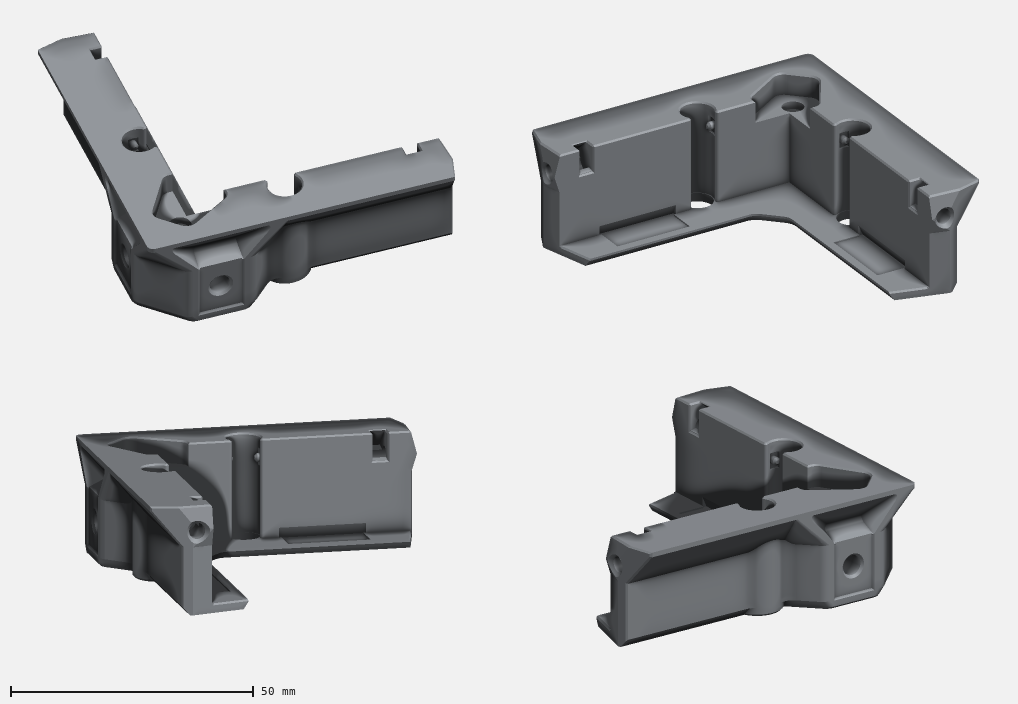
import cadquery as cq
import math

SIDE = 69.4
HEIGHT = 22.9

PLATE_TOP = 1.95
PLATE_LIP = 1.45
WALL_TOP = 14.35
RIM_BOTTOM = 21.85
FOOT_BEVEL = 0.5

WALL_OUTER = 6.25
WALL_INNER = 12.85
PLATE_INNER = 21.0
CORE_INNER = 13.2
FOOT_RUN = 1.65
LIP_RUN = 1.05
EDGE_BEVEL = 0.35
CORE_END = 61.05

GUSSET_LEG = 5.3
GUSSET_RADIUS = 2.8
CORNER_RADIUS = 1.4

BOSS_LEFT = 46.2
BOSS_RIGHT = 60.85
BOSS_CENTRE = (BOSS_LEFT + BOSS_RIGHT) / 2
BOSS_HALF = (BOSS_RIGHT - BOSS_LEFT) / 2
BOSS_RADIUS = 2.5
BOSS_TOP_RADIUS = 1.4
BOSS_ROOT = 8.3
BOSS_INSIDE = 59.7

PANEL_WIDTH = 10.05
PANEL_HALF = PANEL_WIDTH / 2
PANEL_BOTTOM = 1.8
PANEL_DEPTH = 0.4
FLARE_HALF = 11.7
FLARE_BACK_HALF = 4.65
FLARE_BACK_Y = 4.6
FLARE_BACK_Z = 16.45
FLARE_RADIUS = 1.05
BOSS_HOLE = 4.4
BOSS_HOLE_Z = 8.2
BOSS_HOLE_DEPTH = 6.95
BOSS_HOLE_BEVEL = 0.52

BORE_X = 36.1
BORE_Y = 10.0
BORE_RADIUS = 3.6
PLATE_HOLE = 6.9
BORE_LIP_RADIUS = 0.6
BULGE_RADIUS = 5.55
BULGE_BLEND = 3.05
BULGE_TOP = 18.05
NUB_RADIUS = 0.9
NUB_BEVEL = 0.5
NUB_REACH = 2.35
NUB_Z = 18.4
WINDOW_WIDTH = 2.35
WINDOW_HEIGHT = 3.6
WINDOW_DEPTH = 0.5

END_APEX = 8.5
END_BEVEL = 0.35
END_SLOPE = 0.27
NOSE_Z = 18.05
NOSE_TOP_SETBACK = 1.3
NOSE_TOP_SKEW = 0.068
END_HOLE = 3.4
END_HOLE_Y = 9.6
END_HOLE_Z = 17.6
END_HOLE_BEVEL = 0.8

SLOT_START = 6.2
SLOT_WIDTH = 3.1
SLOT_TOP_BACK = 10.3
SLOT_BACK = 5.75
SLOT_FLOOR = 16.9
SLOT_RAMP_TOP = 18.65

RECESS_START = 11.3
RECESS_LENGTH = 17.4
RECESS_INNER = 19.15
RECESS_DEPTH = 0.35
RECESS_TOP = 3.95
RECESS_UNDERCUT = 1.05
RECESS_MARGIN = 0.5

POCKET_FLOOR = 17.9
POCKET_START = 48.35
POCKET_SHOULDER_DROP = 2.115
POCKET_SHOULDER = WALL_INNER - POCKET_SHOULDER_DROP
POCKET_TIP = (59.05, 4.1)
POCKET_SHOULDER_RADIUS = 2.1
POCKET_TIP_RADIUS = 2.4
MAGNET = 4.7
MAGNET_OFFSET = 10.7
MAGNET_DEPTH = 1.7

OVERRUN = 3.5
BIG = 55.5
PICK_MARGIN = 0.15

HALF_DIAGONAL = math.sqrt(0.5)


def mirrored_point(point):
    return (SIDE - point[1], SIDE - point[0])


def mirrored(shape):
    return shape.mirror((1, 1, 0), (SIDE, 0, 0))


def with_mirror(shape):
    return shape.union(mirrored(shape))


def half_space(point, normal):
    """Large block that starts at a plane and fills the side its normal points to."""
    return cq.Workplane(cq.Plane(origin=point, normal=normal)).rect(2 * BIG, 2 * BIG).extrude(BIG)


def round_upright(shape, point, radius):
    """Round the vertical edge that stands at a plan point, and the one at its mirrored point."""
    for x, y in (point, mirrored_point(point)):
        low = (x - PICK_MARGIN, y - PICK_MARGIN, 0)
        high = (x + PICK_MARGIN, y + PICK_MARGIN, HEIGHT)
        shape = shape.edges("|Z").edges(cq.selectors.BoxSelector(low, high)).fillet(radius)
    return shape


def top_bevel(cutter):
    """Band that widens a cutter at the top face by a 45 degree bevel."""
    band = cutter.translate((0, 0, -EDGE_BEVEL)).faces(">Z").wires().toPending().workplane()
    return band.extrude(EDGE_BEVEL, taper=-45, combine=False)


def end_trim():
    """Pointed end of an arm: a vertical chevron below, a three-sided nose above."""
    apex_low = (0, END_APEX, 0)
    outer_face = half_space(apex_low, (-1, -END_SLOPE, 0))
    inner_face = half_space(apex_low, (-1, END_SLOPE, 0))
    below = cq.Workplane("XY").box(2 * BIG, 2 * BIG, WALL_TOP + OVERRUN, centered=(True, True, False))
    below = below.translate((0, 0, -OVERRUN))
    wall_end = END_SLOPE * (WALL_INNER - END_APEX)
    ridge = (0, WALL_INNER, NOSE_Z)
    nose_top = half_space(ridge, (-1, NOSE_TOP_SKEW, NOSE_TOP_SETBACK / (HEIGHT - NOSE_Z)))
    under = half_space(ridge, (-1, END_SLOPE, -wall_end / (NOSE_Z - WALL_TOP)))
    above = cq.Workplane("XY").box(2 * BIG, 2 * BIG, HEIGHT, centered=(True, True, False))
    above = above.translate((0, 0, WALL_TOP))
    tip = half_space((0, 0, 0), (-1, 0, 0))
    trim = tip.union(outer_face).union(inner_face.intersect(below))
    return trim.union(nose_top.intersect(above)).union(under.intersect(above))


def arm_core():
    """Cross-section of an arm wall, flaring out below the rim, run past its free end."""
    profile = [
        (WALL_OUTER + FOOT_RUN, 0),
        (WALL_OUTER, PLATE_TOP),
        (WALL_OUTER, WALL_TOP),
        (0, RIM_BOTTOM),
        (0, HEIGHT),
        (CORE_INNER, HEIGHT),
        (CORE_INNER, 0),
    ]
    section = cq.Workplane("YZ").workplane(offset=-OVERRUN).polyline(profile).close()
    return section.extrude(CORE_END + OVERRUN)


def plate():
    """L-shaped plate with a gusset in its inside corner and a lip bevelled underneath."""
    inner = SIDE - PLATE_INNER
    gusset = (inner - GUSSET_LEG, PLATE_INNER)
    half = [(BOSS_INSIDE, BOSS_ROOT), (-OVERRUN, BOSS_ROOT), (-OVERRUN, PLATE_INNER), gusset]
    outline = half + [mirrored_point(point) for point in reversed(half)]
    blank = cq.Workplane("XY").workplane(offset=PLATE_LIP).polyline(outline).close()
    blank = round_upright(blank.extrude(PLATE_TOP - PLATE_LIP), gusset, GUSSET_RADIUS)
    lip_angle = math.degrees(math.atan2(LIP_RUN, PLATE_LIP))
    lip = blank.faces("<Z").wires().toPending().workplane()
    return blank.union(lip.extrude(PLATE_LIP, taper=lip_angle, combine=False))


def corner_rim():
    """Rounded corner of the top rim."""
    size = SIDE - BOSS_CENTRE + BOSS_HALF
    rim = cq.Workplane("XY").workplane(offset=RIM_BOTTOM).center(SIDE, 0).rect(2 * size, 2 * size)
    rim = rim.extrude(HEIGHT - RIM_BOTTOM)
    quarter = cq.Workplane("XY").box(SIDE, SIDE, HEIGHT, centered=False)
    return rim.intersect(quarter).edges("|Z and >X and <Y").fillet(CORNER_RADIUS)


def boss_outline(z, inset, front, radius=BOSS_RADIUS):
    """Boss outline at one height, with its facets moved in and its front faces moved back."""
    left = BOSS_CENTRE - BOSS_HALF + inset - front
    right = BOSS_CENTRE + BOSS_HALF - inset + front
    half_turn = math.pi / 8
    tangent = radius * math.tan(half_turn)
    step = tangent * HALF_DIAGONAL
    bow = radius * (1 / math.cos(half_turn) - 1)
    bow_x = bow * math.sin(half_turn)
    bow_y = bow * math.cos(half_turn)
    root = (left + front - BOSS_ROOT, BOSS_ROOT)
    left_arc = [(left - step, front + step), (left + bow_x, front + bow_y), (left + tangent, front)]
    right_arc = [(right - tangent, front), (right - bow_x, front + bow_y), (right + step, front + step)]
    inside = (BOSS_INSIDE, SIDE - BOSS_INSIDE)
    far_right_arc = [mirrored_point(point) for point in reversed(right_arc)]
    far_left_arc = [mirrored_point(point) for point in reversed(left_arc)]
    outline = cq.Workplane("XY").workplane(offset=z).moveTo(*root)
    for start, middle, end in (left_arc, right_arc, far_right_arc, far_left_arc):
        outline = outline.lineTo(*start).threePointArc(middle, end)
    return outline.lineTo(*mirrored_point(root)).lineTo(*inside).close().val()


def corner_boss():
    """Boss on both sides of the corner, widening to the rim and bevelled at the foot."""
    bevel_inset = FOOT_RUN * (1 - FOOT_BEVEL / PLATE_TOP)
    levels = [
        boss_outline(0, FOOT_RUN, FOOT_BEVEL),
        boss_outline(FOOT_BEVEL, bevel_inset, 0),
        boss_outline(PLATE_TOP, 0, 0),
        boss_outline(WALL_TOP, 0, 0),
        boss_outline(RIM_BOTTOM, WALL_TOP - RIM_BOTTOM, 0, BOSS_TOP_RADIUS),
    ]
    boss = None
    for low, high in zip(levels, levels[1:]):
        layer = cq.Workplane(cq.Solid.makeLoft([low, high], True))
        boss = layer if boss is None else boss.union(layer)
    return boss


def bore_bulge():
    """Round wall around the bore, blended into the arm wall and into the boss facet."""
    cylinder = cq.Workplane("XY").center(BORE_X, BORE_Y).circle(BULGE_RADIUS).extrude(BULGE_TOP)
    cylinder = cylinder.faces("<Z").chamfer(FOOT_BEVEL)

    reach = BULGE_RADIUS + BULGE_BLEND
    wall_y = WALL_OUTER - BULGE_BLEND
    wall_x = BORE_X - math.sqrt(reach**2 - (BORE_Y - wall_y) ** 2)

    facet_sum = BOSS_CENTRE - BOSS_HALF - BULGE_BLEND / HALF_DIAGONAL
    offset = (facet_sum - BORE_X - BORE_Y) / 2
    along = math.sqrt(reach**2 / 2 - offset**2)
    facet_x = BORE_X + offset + along
    facet_y = BORE_Y + offset - along
    facet_end = facet_x + BULGE_BLEND * HALF_DIAGONAL

    web = (
        cq.Workplane("XY")
        .workplane(offset=PLATE_TOP)
        .polyline([
            (wall_x, BORE_Y),
            (wall_x, wall_y),
            (BORE_X, BORE_Y),
            (facet_x, facet_y),
            (facet_end, facet_y + BULGE_BLEND * HALF_DIAGONAL),
            (facet_end, BORE_Y),
        ])
        .close()
        .extrude(BULGE_TOP - PLATE_TOP)
    )
    for x, y in ((wall_x, wall_y), (facet_x, facet_y)):
        web = web.cut(cq.Workplane("XY").center(x, y).circle(BULGE_BLEND).extrude(HEIGHT))
    return cylinder.union(web)


def trimmed_plate():
    """Plate with both ends cut to a point and bevelled along their upper edge."""
    trimmed = plate().cut(end_trim()).cut(mirrored(end_trim()))
    low = (0, PLATE_INNER - WALL_INNER, PLATE_TOP - PICK_MARGIN)
    high = (OVERRUN, PLATE_INNER, PLATE_TOP + PICK_MARGIN)
    far_low = (SIDE - PLATE_INNER, SIDE - OVERRUN, PLATE_TOP - PICK_MARGIN)
    far_high = (SIDE - BOSS_ROOT, SIDE, PLATE_TOP + PICK_MARGIN)
    ends = cq.selectors.BoxSelector(low, high) + cq.selectors.BoxSelector(far_low, far_high)
    return trimmed.edges(ends).chamfer(END_BEVEL)


def arm():
    """Arm with its end trimmed to a point and the outer rim of that end bevelled."""
    trimmed = arm_core().cut(end_trim())
    box = cq.selectors.BoxSelector
    outer_rim = box((-OVERRUN, -OVERRUN, PLATE_TOP), (OVERRUN, WALL_OUTER + PICK_MARGIN, SIDE))
    top_rim = box((-OVERRUN, WALL_OUTER, HEIGHT - PICK_MARGIN), (OVERRUN, CORE_INNER, SIDE))
    return trimmed.edges(outer_rim + top_rim).chamfer(END_BEVEL)


def inner_void():
    """Open inside of the L together with both bores, bevelled along the top edge."""
    bore = cq.Workplane("XY").workplane(offset=PLATE_TOP).center(BORE_X, BORE_Y).circle(BORE_RADIUS)
    bore = bore.extrude(HEIGHT - PLATE_TOP)
    reach = SIDE + OVERRUN
    void = cq.Workplane("XY").box(reach, reach, HEIGHT - PLATE_TOP, centered=False)
    void = void.translate((SIDE - WALL_INNER - reach, WALL_INNER, PLATE_TOP)).union(with_mirror(bore))
    mouth = math.sqrt(BORE_RADIUS**2 - (WALL_INNER - BORE_Y) ** 2)
    for side in (-mouth, mouth):
        void = round_upright(void, (BORE_X + side, WALL_INNER), BORE_LIP_RADIUS)
    return void.union(top_bevel(void))


def plate_hole():
    return cq.Workplane("XY").center(BORE_X, BORE_Y).circle(PLATE_HOLE / 2).extrude(HEIGHT)


def bore_nubs():
    root = BORE_RADIUS + WINDOW_DEPTH
    nub = cq.Workplane("YZ").workplane(offset=NUB_REACH).circle(NUB_RADIUS).extrude(root - NUB_REACH)
    nub = nub.faces("<X").chamfer(NUB_BEVEL)
    pair = nub.union(nub.mirror("YZ"))
    return pair.translate((BORE_X, BORE_Y, NUB_Z))


def nub_window():
    """Rectangular recesses in the bore wall, one around each nub."""
    window = cq.Workplane("XY").box(2 * (BORE_RADIUS + WINDOW_DEPTH), WINDOW_WIDTH, WINDOW_HEIGHT)
    return window.translate((BORE_X, BORE_Y, NUB_Z))


def corner_pocket():
    """Rounded pocket in the top face, open to the inside corner, with a round recess in its floor."""
    shoulder = (POCKET_START, POCKET_SHOULDER)
    half = [(POCKET_START, WALL_INNER), shoulder, POCKET_TIP]
    inside = (SIDE - WALL_INNER, WALL_INNER)
    outline = half + [mirrored_point(point) for point in reversed(half)] + [inside]
    pocket = cq.Workplane("XY").workplane(offset=POCKET_FLOOR).polyline(outline).close()
    pocket = pocket.extrude(HEIGHT - POCKET_FLOOR)
    pocket = round_upright(pocket, shoulder, POCKET_SHOULDER_RADIUS)
    pocket = round_upright(pocket, POCKET_TIP, POCKET_TIP_RADIUS)
    magnet = cq.Workplane("XY").workplane(offset=POCKET_FLOOR - MAGNET_DEPTH)
    magnet = magnet.center(SIDE - MAGNET_OFFSET, MAGNET_OFFSET).circle(MAGNET / 2).extrude(MAGNET_DEPTH)
    return pocket.union(top_bevel(pocket)).union(magnet)


def boss_panel():
    """Shallow panel on the boss front, carried up into the flared pocket by a short riser."""
    height = WALL_TOP - PANEL_BOTTOM
    panel = cq.Workplane("XZ").center(BOSS_CENTRE, PANEL_BOTTOM + height / 2)
    panel = panel.rect(2 * PANEL_HALF, height).extrude(-PANEL_DEPTH, taper=45)
    riser = cq.Workplane("XZ").center(BOSS_CENTRE, WALL_TOP)
    riser = riser.rect(2 * (PANEL_HALF - PANEL_DEPTH), 2 * PANEL_DEPTH).extrude(-PANEL_DEPTH)
    return panel.union(riser)


def boss_flare():
    """Pocket that widens upward under the rim, closed by a floor, a ceiling and two sides."""
    flare = cq.Workplane("XY").box(BIG, 2 * WALL_OUTER, HEIGHT)
    flare = flare.translate((BOSS_CENTRE, WALL_OUTER, HEIGHT / 2))
    floor_front = (BOSS_CENTRE, PANEL_DEPTH, WALL_TOP)
    rise = FLARE_BACK_Z - WALL_TOP
    floor = half_space(floor_front, (0, rise, PANEL_DEPTH - FLARE_BACK_Y))
    run = RIM_BOTTOM - WALL_TOP
    ceiling = half_space((BOSS_CENTRE, 0, RIM_BOTTOM), (0, run, WALL_OUTER))
    flare = flare.cut(floor).cut(ceiling)
    for side in (-1, 1):
        low = cq.Vector(BOSS_CENTRE + side * PANEL_HALF, 0, WALL_TOP)
        high = cq.Vector(BOSS_CENTRE + side * FLARE_HALF, 0, RIM_BOTTOM)
        back = cq.Vector(BOSS_CENTRE + side * FLARE_BACK_HALF, FLARE_BACK_Y, FLARE_BACK_Z)
        outward = (high - low).cross(back - low) * -side
        flare = flare.cut(half_space(low.toTuple(), outward.toTuple()))
    back_edge = flare.edges("|X").edges(">Y")
    ceiling_edges = flare.edges("not |X").edges(">Z")
    return flare.newObject(back_edge.vals() + ceiling_edges.vals()).fillet(FLARE_RADIUS)


def boss_hole():
    hole = cq.Workplane("XZ").center(BOSS_CENTRE, BOSS_HOLE_Z).circle(BOSS_HOLE / 2)
    hole = hole.extrude(-BOSS_HOLE_DEPTH)
    mouth = cq.Workplane("XZ").workplane(offset=-PANEL_DEPTH).center(BOSS_CENTRE, BOSS_HOLE_Z)
    mouth = mouth.circle(BOSS_HOLE / 2 + BOSS_HOLE_BEVEL).extrude(-BOSS_HOLE_BEVEL, taper=45)
    return hole.union(mouth)


def end_hole():
    axis = cq.Workplane("YZ").center(END_HOLE_Y, END_HOLE_Z)
    hole = axis.circle(END_HOLE / 2).extrude(SLOT_START + SLOT_WIDTH)
    mouth = axis.circle(END_HOLE / 2 + END_HOLE_BEVEL).extrude(END_HOLE_BEVEL, taper=45)
    return hole.union(mouth)


def nut_slot():
    """Slot with a rising floor and an overhanging back, bevelled where it opens on the wall and the top."""
    profile = [
        (WALL_INNER, SLOT_FLOOR),
        (SLOT_BACK, SLOT_RAMP_TOP),
        (SLOT_TOP_BACK, HEIGHT),
        (WALL_INNER, HEIGHT),
    ]
    slot = cq.Workplane("YZ").workplane(offset=SLOT_START).polyline(profile).close().extrude(SLOT_WIDTH)
    depth = WALL_INNER - SLOT_TOP_BACK
    top_mouth = cq.Workplane("XY").workplane(offset=HEIGHT)
    top_mouth = top_mouth.center(SLOT_START + SLOT_WIDTH / 2, WALL_INNER)
    top_mouth = top_mouth.rect(SLOT_WIDTH + 2 * EDGE_BEVEL, 2 * (depth + EDGE_BEVEL))
    top_mouth = top_mouth.extrude(-EDGE_BEVEL, taper=45)
    wall_mouth = cq.Workplane("XZ").workplane(offset=-WALL_INNER)
    wall_mouth = wall_mouth.center(SLOT_START + SLOT_WIDTH / 2, HEIGHT)
    wall_mouth = wall_mouth.rect(SLOT_WIDTH + 2 * EDGE_BEVEL, 2 * (HEIGHT - SLOT_FLOOR + EDGE_BEVEL))
    wall_mouth = wall_mouth.extrude(EDGE_BEVEL, taper=45)
    return slot.union(top_mouth).union(wall_mouth)


def label_recess():
    """Tray in the plate, with a sloping undercut into the wall behind it."""
    floor = PLATE_TOP - RECESS_DEPTH
    centre = RECESS_START + RECESS_LENGTH / 2
    tray_length = RECESS_INNER - WALL_INNER
    tray = cq.Workplane("XY").workplane(offset=PLATE_TOP).center(centre, WALL_INNER)
    tray = tray.rect(RECESS_LENGTH, 2 * tray_length).extrude(-RECESS_DEPTH)
    profile = [(WALL_INNER, floor), (WALL_INNER - RECESS_UNDERCUT, floor), (WALL_INNER, RECESS_TOP)]
    undercut_length = RECESS_LENGTH + 2 * RECESS_MARGIN
    undercut = cq.Workplane("YZ").workplane(offset=RECESS_START - RECESS_MARGIN).polyline(profile).close()
    under_wall = cq.Workplane("XY").box(SIDE, 2 * WALL_INNER, HEIGHT, centered=(True, True, False))
    return tray.cut(under_wall).union(undercut.extrude(undercut_length))


body = trimmed_plate().union(with_mirror(arm())).union(corner_boss()).union(corner_rim())
body = body.union(with_mirror(bore_bulge()))
body = body.cut(inner_void()).cut(corner_pocket())
for cutter in (plate_hole, nub_window, boss_panel, boss_flare, boss_hole, end_hole, nut_slot, label_recess):
    body = body.cut(cutter()).cut(mirrored(cutter()))
result = body.union(with_mirror(bore_nubs()))